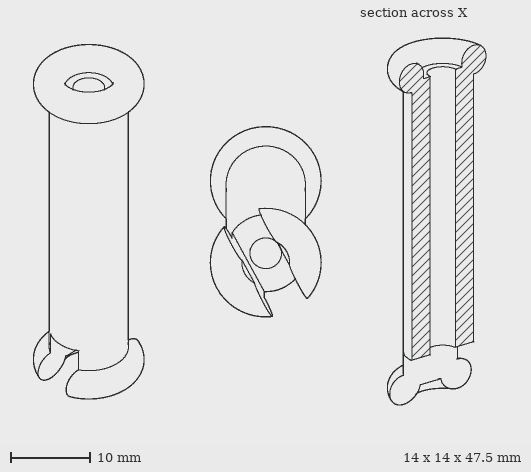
import cadquery as cq

length = 47.5
tube_diameter = 10.0
bore_diameter = 4.0
ring_thickness = 4.0
tube_end_inset = 0.5
slot_width = 5.0
slot_height = 7.0

tube_radius = tube_diameter / 2
ring_radius = ring_thickness / 2
lower_ring_height = ring_radius
upper_ring_height = length - ring_radius
tube_top = upper_ring_height - tube_end_inset
slot_depth = 2 * (tube_diameter + ring_thickness)


def end_ring(height):
    """Round ring around the tube axis, centred at the given height."""
    return cq.Workplane("XY").add(
        cq.Solid.makeTorus(tube_radius, ring_radius, cq.Vector(0, 0, height))
    )


tube = (
    cq.Workplane("XY")
    .workplane(offset=lower_ring_height)
    .circle(tube_radius)
    .extrude(tube_top - lower_ring_height)
)
body = tube.union(end_ring(lower_ring_height)).union(end_ring(upper_ring_height))

bore = cq.Workplane("XY").circle(bore_diameter / 2).extrude(length)

slot = cq.Workplane("XY").box(
    slot_width, slot_depth, slot_height, centered=(True, True, False)
)

result = body.cut(bore).cut(slot)